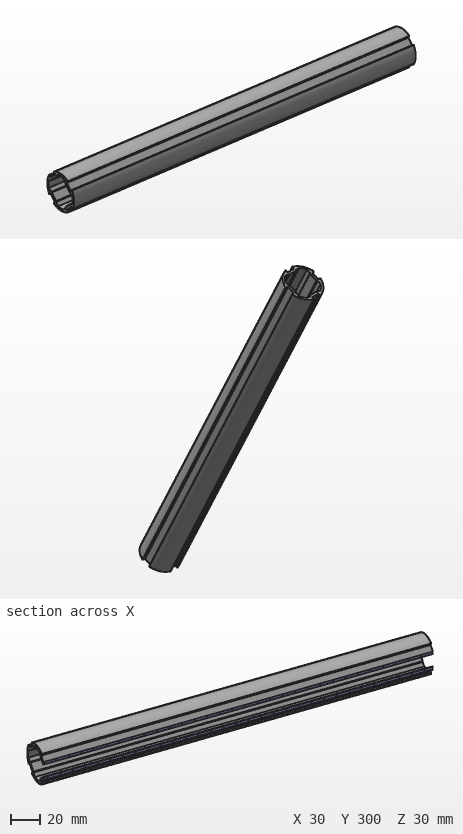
import cadquery as cq
import math

length = 300.0
outer_radius = 15.0
inner_radius = 13.2

web_outer_distance = 12.5
web_inner_distance = 10.5
inner_bevel_distance = 11.0

lip_tip = 7.8
lip_tip_height = 12.3
slot_wall = 7.0
inner_wall = 5.0


def height_on_circle(radius, offset):
    return math.sqrt(radius**2 - offset**2)


def height_on_diagonal(distance, offset):
    """Second coordinate of a point on a 45 degree line at this distance from the axis."""
    return distance * math.sqrt(2) - offset


def mirrored_across_diagonal(points):
    """Continue a half-outline across the 45 degree symmetry line."""
    return points + [(y, x) for x, y in reversed(points)]


def quarter_turns(points, turn):
    """Rotate section points clockwise by a number of quarter turns."""
    for _ in range(turn):
        points = [(y, -x) for x, y in points]
    return points


def extruded_outline(corner_points, radius):
    """Repeat one quadrant's corners four times, joined by arcs centred on the axis."""
    outline = cq.Workplane("XZ", origin=(0, length / 2, 0))
    for turn in range(4):
        corners = quarter_turns(corner_points, turn)
        arc_middle = quarter_turns([(0, radius)], turn)[0]
        if turn == 0:
            outline = outline.moveTo(-corners[0][0], corners[0][1])
        outline = outline.threePointArc(arc_middle, corners[0])
        for corner in corners[1:]:
            outline = outline.lineTo(*corner)
    return outline.close().extrude(length)


lip_overhang = lip_tip - slot_wall
slot_corners = mirrored_across_diagonal([
    (lip_tip, height_on_circle(outer_radius, lip_tip)),
    (lip_tip, lip_tip_height),
    (slot_wall, lip_tip_height - lip_overhang),
    (slot_wall, height_on_diagonal(web_outer_distance, slot_wall)),
])

bevel_half_chord = math.sqrt(inner_radius**2 - inner_bevel_distance**2)
bevel_start = (inner_bevel_distance - bevel_half_chord) / math.sqrt(2)
bore_corners = mirrored_across_diagonal([
    (bevel_start, height_on_circle(inner_radius, bevel_start)),
    (inner_wall, height_on_diagonal(inner_bevel_distance, inner_wall)),
    (inner_wall, height_on_diagonal(web_inner_distance, inner_wall)),
])

body = extruded_outline(slot_corners, outer_radius)
bore = extruded_outline(bore_corners, inner_radius)
result = body.cut(bore)